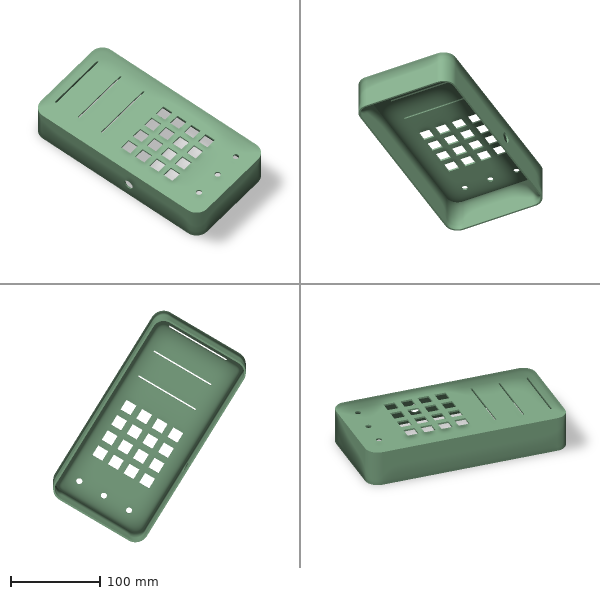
import cadquery as cq

length = 240.0
width = 120.0
height = 42.0
corner_radius = width / 8
wall = 2.0

key_count = 4
key_size = 13.2
key_pitch = 20.5
keypad_center = (28.0, -1.7)

slot_count = 3
slot_width = 2.0
slot_length = 75.0
slot_pitch = 33.4
first_slot_x = -106.0
slot_center_y = 0.7

top_hole_diameter = 7.0
top_hole_x = 98.5
top_hole_ys = (-32.6, 0.2, 32.5)

cable_hole_diameter = 12.0
cable_hole_x = 19.0
cable_hole_z = 17.5


def rounded_block(size_x, size_y, size_z, radius):
    """Block standing on Z = 0 with rounded vertical edges."""
    block = cq.Workplane("XY").box(size_x, size_y, size_z, centered=(True, True, False))
    return block.edges("|Z").fillet(radius)


def make_shell():
    """Uniform walls and top around a cavity that opens downward."""
    outside = rounded_block(length, width, height, corner_radius)
    cavity = rounded_block(
        length - 2 * wall,
        width - 2 * wall,
        height - wall,
        corner_radius - wall,
    )
    return outside.cut(cavity)


def top_underside():
    """Workplane at the underside of the top, for cutters that rise through it."""
    return cq.Workplane("XY", origin=(0, 0, height - wall))


def make_keypad_windows():
    keypad = top_underside().center(*keypad_center)
    keys = keypad.rarray(key_pitch, key_pitch, key_count, key_count)
    return keys.rect(key_size, key_size).extrude(wall)


def make_slots():
    centers = [(first_slot_x + i * slot_pitch, slot_center_y) for i in range(slot_count)]
    slots = top_underside().pushPoints(centers)
    return slots.rect(slot_width, slot_length).extrude(wall)


def make_top_holes():
    centers = [(top_hole_x, y) for y in top_hole_ys]
    return top_underside().pushPoints(centers).circle(top_hole_diameter / 2).extrude(wall)


def make_cable_hole():
    front_face = cq.Workplane("XZ", origin=(0, -width / 2, 0))
    hole = front_face.center(cable_hole_x, cable_hole_z).circle(cable_hole_diameter / 2)
    return hole.extrude(-wall)


result = (
    make_shell()
    .cut(make_keypad_windows())
    .cut(make_slots())
    .cut(make_top_holes())
    .cut(make_cable_hole())
)